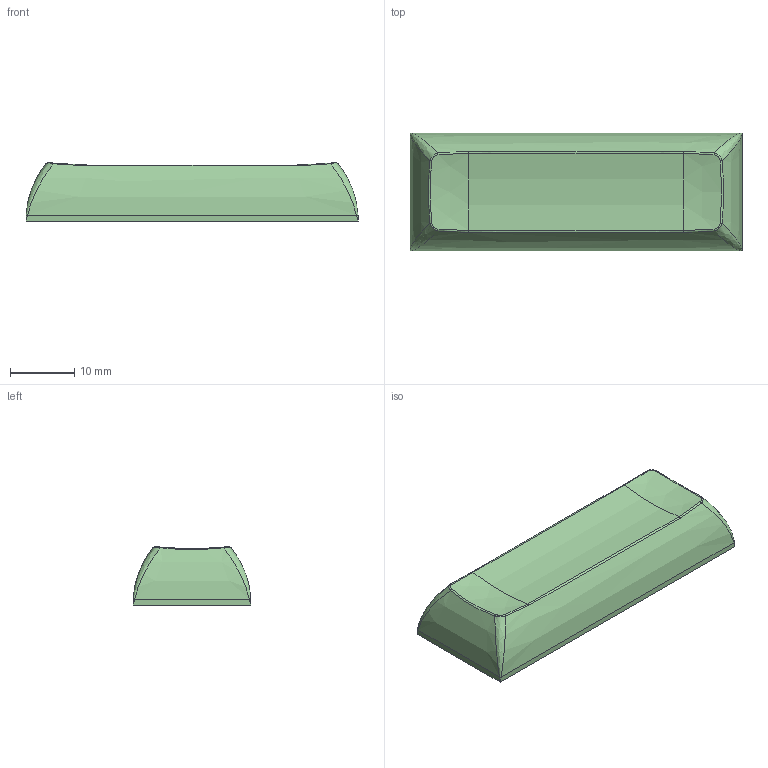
import cadquery as cq
import math

length = 51.56
width = 18.31
stretch = length - width

skirt_height = 0.9

flank_top = 9.6
flank_inset = 3.7
flank_radius = 14.0
flank_sections = 6

corner_bottom = 0.05
corner_top = 1.2

dish_radius = 36.0
dish_bottom = 8.21
rim_fillet = 0.3


def flank_offset(z):
    """Inward offset of the flank at height z, on the arc from skirt top to flank top."""
    rise = flank_top - skirt_height
    chord = math.hypot(rise, flank_inset)
    center_distance = math.sqrt(flank_radius**2 - (chord / 2) ** 2)
    center_inset = flank_inset / 2 + center_distance * rise / chord
    center_z = (skirt_height + flank_top) / 2 - center_distance * flank_inset / chord
    return center_inset - math.sqrt(flank_radius**2 - (z - center_z) ** 2)


def corner_radius(z):
    """Corner rounding at height z: a quarter sine from bottom to top."""
    growth = math.sin(math.pi / 2 * z / flank_top)
    return corner_bottom + (corner_top - corner_bottom) * growth


def section(z, inset):
    """Rounded rectangular outline of the body at height z."""
    outline = cq.Sketch().rect(length - 2 * inset, width - 2 * inset)
    outline = outline.vertices().fillet(corner_radius(z))
    return outline.moved(cq.Location(cq.Vector(0, 0, z)))


def make_skirt():
    sections = [section(0, 0), section(skirt_height, 0)]
    return cq.Workplane("XY").placeSketch(*sections).loft(ruled=True)


def make_flanks():
    step = (flank_top - skirt_height) / (flank_sections - 1)
    heights = [skirt_height + i * step for i in range(flank_sections)]
    sections = [section(z, flank_offset(z)) for z in heights]
    return cq.Workplane("XY").placeSketch(*sections).loft()


def make_dish():
    """Capsule lying along X that scoops out the top."""
    axis_z = dish_bottom + dish_radius
    half_stretch = stretch / 2
    half_length = half_stretch + dish_radius
    diagonal = dish_radius * math.sin(math.pi / 4)
    return (
        cq.Workplane("XZ", origin=(0, 0, axis_z))
        .moveTo(-half_length, 0)
        .threePointArc((-half_stretch - diagonal, -diagonal), (-half_stretch, -dish_radius))
        .lineTo(half_stretch, -dish_radius)
        .threePointArc((half_stretch + diagonal, -diagonal), (half_length, 0))
        .close()
        .revolve(360, (0, 0, 0), (1, 0, 0))
    )


def round_rim(body):
    """Fillet the edge loop where the dish meets the flanks."""
    box_low = (-length, -width, dish_bottom + rim_fillet)
    box_high = (length, width, flank_top)
    return body.edges(cq.selectors.BoxSelector(box_low, box_high)).fillet(rim_fillet)


body = make_skirt().union(make_flanks()).cut(make_dish())
result = round_rim(body)